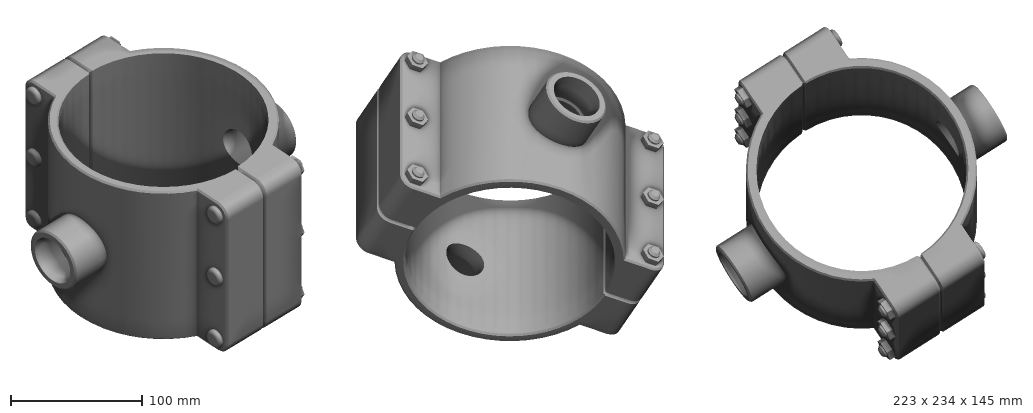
import cadquery as cq

HEIGHT = 145.0
BORE_RADIUS = 80.0
SHELL_RADIUS = 88.0
EDGE_CHAMFER = 1.5

FLANGE_SPAN = 223.0
FLANGE_DEPTH = 40.0
FLANGE_CORNER_RADIUS = 11.0
PARTING_CHAMFER = 1.9

SPIGOT_TIP = 117.0
SPIGOT_DIAMETER = 50.5
SOCKET_DIAMETER = 38.8
PORT_DIAMETER = 32.0
SOCKET_FLOOR = 93.0

BOLT_X = 99.7
BOLT_PITCH = 60.5
BOLTS_PER_FLANGE = 3
BOLT_DIAMETER = 10.0
BOLT_TIP = 48.2
BOLT_TIP_CHAMFER = 1.9
HEAD_DIAMETER = 15.0
HEAD_HEIGHT = 4.2
HEAD_FILLET = 3.0
NUT_CORNER_DIAMETER = 17.5
NUT_HEIGHT = 5.0

FRONT = -1
BACK = 1


def along_y(start_y, direction):
    """Workplane across the Y axis at start_y that extrudes toward +Y (1) or -Y (-1)."""
    return cq.Workplane(cq.Plane((0, start_y, 0), xDir=(1, 0, 0), normal=(0, direction, 0)))


def upright_cylinder(radius):
    return cq.Workplane("XY").circle(radius).extrude(HEIGHT / 2, both=True)


def clamp_half(side):
    """Half shell with its two flanges, before the bore is cut."""
    flange = (
        along_y(0, side)
        .rect(FLANGE_SPAN, HEIGHT)
        .extrude(FLANGE_DEPTH)
        .edges("|Y")
        .fillet(FLANGE_CORNER_RADIUS)
    )
    outer, inner = (">Y", "<Y") if side == BACK else ("<Y", ">Y")
    flange = flange.faces(outer).chamfer(EDGE_CHAMFER)
    flange = flange.faces(inner).chamfer(PARTING_CHAMFER)
    half_space = along_y(0, side).rect(2 * FLANGE_SPAN, 2 * HEIGHT).extrude(FLANGE_SPAN)
    shell = upright_cylinder(SHELL_RADIUS).faces("|Z").chamfer(EDGE_CHAMFER)
    return flange.union(shell.intersect(half_space.translate((0, side * PARTING_CHAMFER, 0))))


def bore_cutter():
    """Bore with a V groove along both parting lines."""
    groove = (
        cq.Workplane("XY")
        .pushPoints([(-BORE_RADIUS, 0), (BORE_RADIUS, 0)])
        .polygon(4, 2 * PARTING_CHAMFER)
        .extrude(HEIGHT / 2, both=True)
    )
    return upright_cylinder(BORE_RADIUS).union(groove)


def bore_rim_cutter():
    """Chamfers on the top and bottom rims of the front half of the bore."""
    profile = [
        (0, HEIGHT / 2),
        (BORE_RADIUS + EDGE_CHAMFER, HEIGHT / 2),
        (BORE_RADIUS, HEIGHT / 2 - EDGE_CHAMFER),
        (0, HEIGHT / 2 - EDGE_CHAMFER),
    ]
    top = cq.Workplane("XZ").polyline(profile).close().revolve(360, (0, 0, 0), (0, 1, 0))
    front_space = along_y(0, FRONT).rect(2 * FLANGE_SPAN, 2 * HEIGHT).extrude(FLANGE_SPAN)
    return top.union(top.mirror("XY")).intersect(front_space)


def fastener():
    """Rounded bolt head for the front flange, and hexagonal nut with bolt tip for the back flange."""
    head = (
        along_y(-FLANGE_DEPTH, FRONT)
        .circle(HEAD_DIAMETER / 2)
        .extrude(HEAD_HEIGHT)
        .faces("<Y")
        .edges()
        .fillet(HEAD_FILLET)
    )
    nut = along_y(FLANGE_DEPTH, BACK).polygon(6, NUT_CORNER_DIAMETER).extrude(NUT_HEIGHT)
    tip = (
        along_y(FLANGE_DEPTH, BACK)
        .circle(BOLT_DIAMETER / 2)
        .extrude(BOLT_TIP - FLANGE_DEPTH)
        .faces(">Y")
        .chamfer(BOLT_TIP_CHAMFER)
    )
    return head, nut.union(tip)


def clamp_body():
    """Both halves bolted together, bored, with a port through each side."""
    body = clamp_half(FRONT).union(clamp_half(BACK))
    body = body.cut(bore_cutter()).cut(bore_rim_cutter())
    port = cq.Workplane("XZ").circle(PORT_DIAMETER / 2).extrude(SPIGOT_TIP, both=True)
    body = body.cut(port)
    for x in (-BOLT_X, BOLT_X):
        for row in range(BOLTS_PER_FLANGE):
            z = (row - (BOLTS_PER_FLANGE - 1) / 2) * BOLT_PITCH
            for piece in fastener():
                body = body.union(piece.translate((x, 0, z)))
    return body


def spigot_body(side):
    """Tube saddled onto the shell, with a wide socket at its outer end and a narrow port behind it."""
    outer_face = ">Y" if side == BACK else "<Y"
    tube = along_y(0, side).circle(SPIGOT_DIAMETER / 2).extrude(SPIGOT_TIP)
    tube = tube.faces(outer_face).chamfer(EDGE_CHAMFER)
    port = along_y(0, side).circle(PORT_DIAMETER / 2).extrude(SPIGOT_TIP)
    socket_depth = SPIGOT_TIP - SOCKET_FLOOR
    socket = along_y(side * SOCKET_FLOOR, side).circle(SOCKET_DIAMETER / 2).extrude(socket_depth)
    return tube.cut(upright_cylinder(SHELL_RADIUS)).cut(port).cut(socket)


clamp = clamp_body()
spigots = [spigot_body(side) for side in (FRONT, BACK)]

result = cq.Compound.makeCompound([clamp.val(), *(spigot.val() for spigot in spigots)])